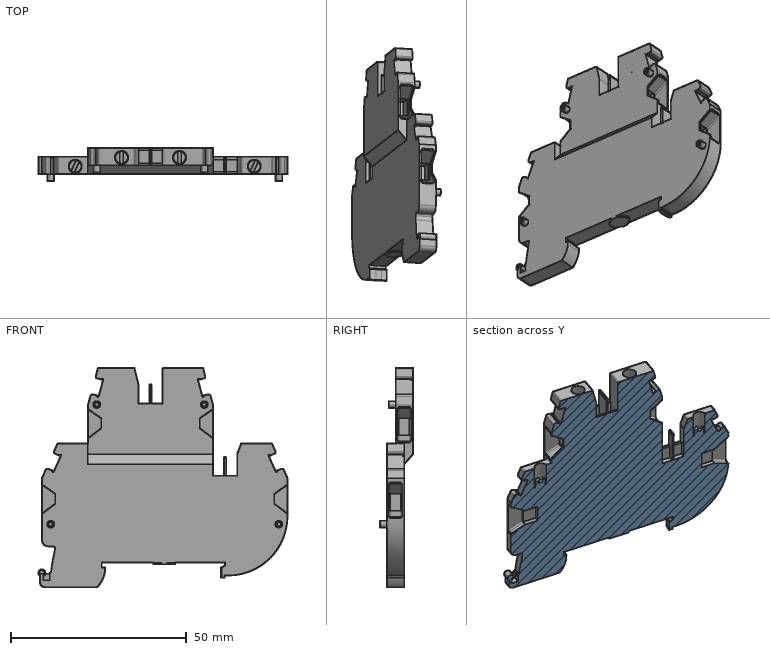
import cadquery as cq
import math

BODY_LENGTH = 69.99
BODY_THICKNESS = 5.0
TIER_OFFSET = 2.5
TOTAL_HEIGHT = 62.5
TIER_PITCH = 21.5
LOWER_TOP = TOTAL_HEIGHT - TIER_PITCH
CENTRE_X = BODY_LENGTH / 2

UPPER_LEFT = 13.12
UPPER_LENGTH = 35.64
UPPER_RIGHT = UPPER_LEFT + UPPER_LENGTH
UPPER_CENTRE_X = UPPER_LEFT + UPPER_LENGTH / 2
STEP_BOTTOM = 35.1
STEP_TOP = 37.9

LOWER_SHOULDER_Z = 31.1
LOWER_SHOULDER_RUN = 4.45
UPPER_SHOULDER_Z = 52.05
UPPER_SHOULDER_RUN = 2.84
LOWER_SHOULDER = ((0, LOWER_SHOULDER_Z), LOWER_SHOULDER_RUN, LOWER_TOP - LOWER_SHOULDER_Z)
UPPER_SHOULDER = ((UPPER_LEFT, UPPER_SHOULDER_Z), UPPER_SHOULDER_RUN, TOTAL_HEIGHT - UPPER_SHOULDER_Z)
JAW_START = 3.2
JAW_END = 7.85
JAW_DEPTH = 2.3
JAW_LIP_ROUND = 0.7
JAW_TIP_ROUND = 0.5
JAW_GROOVE_WIDTH = 1.0
JAW_GROOVE_DEPTH = 0.4
REAR_WEB = 0.5

SLOT_WIDTH = 6.82
UPPER_SLOT_LEFT = UPPER_CENTRE_X - SLOT_WIDTH / 2
UPPER_SLOT_RIGHT = UPPER_CENTRE_X + SLOT_WIDTH / 2
UPPER_SLOT_FLOOR = 52.4
UPPER_FLARE_RUN = 1.15
UPPER_FLARE_BOTTOM = 57.75
LOWER_SLOT_RIGHT = UPPER_RIGHT + SLOT_WIDTH
LOWER_SLOT_FLOOR = 31.8
LOWER_FLARE_RUN = 1.2
LOWER_FLARE_BOTTOM = 37.9
SLOT_PIT_DEPTH = 4.0
SLOT_RIM = 0.65
LOWER_REAR_RIM = 0.9
BLADE_THICKNESS = 0.7
BLADE_HEIGHT = 5.4
BLADE_TIP = 0.4
BLADE_INSET = 0.2
TOP_ROUND = 0.3

WELL_DIAMETER = 3.8
WELL_DEPTH = 7.0
SCREW_DIAMETER = 3.5
SCREW_HEIGHT = 2.0
DRIVE_WIDTH = 1.0
DRIVE_DEPTH = 0.8
WELL_Y = 2.25
LOWER_WELL_INSET = 9.5
UPPER_WELL_SPACING = 16.5
LOWER_DRIVE_ANGLE = -25.0

FUNNEL_DEPTH = 4.6
FUNNEL_MOUTH_TOP = 11.4
FUNNEL_MOUTH_BOTTOM = 21.0
FUNNEL_MOUTH_CHAMFER = 0.3
FUNNEL_END_TOP = 14.35
FUNNEL_END_BOTTOM = 19.25
FUNNEL_FRONT_SKIN = 0.5
FUNNEL_REAR = 4.4
FUNNEL_EDGE_ROUND = 0.4
WIRE_HOLE_DEPTH = 4.0
WIRE_HOLE_INSET = 0.45
WINDOW_DEPTH = 3.8
WINDOW_TOP = 11.75
WINDOW_BOTTOM = 20.1
WINDOW_END_TOP = 14.4
WINDOW_END_BOTTOM = 17.2

PIN_DIAMETER = 2.0
PIN_LENGTH = 2.0
PIN_ROUND = 0.25
PIN_DIMPLE_DIAMETER = 1.2
PIN_DIMPLE_DEPTH = 0.3
PIN_INSET = 2.5
LOWER_PIN_Z = 17.95
UPPER_PIN_Z = 52.05

RAIL_TOP = 7.0
FOOT_LEFT = -0.6
FOOT_RIGHT = 18.0
FOOT_CURVE_END = 15.75
FOOT_CURVE_MID = (17.2, 2.0)
FOOT_CURVE_TOP = 4.5
FOOT_ROUND = 1.45
HEEL_NOTCH_X = 17.1
HEEL_NOTCH_Z = 5.65
HOOK_X = 0.0
HOOK_Z = 4.1
HOOK_DIAMETER = 2.0
HOOK_END_DIAMETER = 1.5
HOOK_END_DEPTH = 0.2
HOOK_WEB_Z = 3.9
HOOK_WEB_CHAMFER = 0.5
HOOK_WELL_LEFT = 0.45
HOOK_WELL_RIGHT = 2.3
HOOK_WELL_BOTTOM = 1.95
BACK_BOTTOM = 11.6
BACK_ROUND = 1.85
NECK_TOP_X = 3.8
NECK_TOP_ROUND = 0.5
NECK_CURVE_TOP = (3.5, 9.75)
NECK_MID = (2.97, 7.2)
NECK_BOTTOM = (2.6, 4.5)
TAIL_RADIUS = 17.0
TAIL_BOTTOM = 3.3
TAIL_LEFT = 51.2
TAIL_NOTCH_X = 52.1
TAIL_NOTCH_Z = 6.2
TAIL_LEDGE_Z = 5.7
TOE_REACH = 0.28
TOE_DROP = 0.65
TOE_WIDTH = 1.1
TOE_CHAMFER_Y = 1.7
BUMP_CENTRE_X = 34.85
BUMP_HEIGHT = 0.5
BUMP_LENGTH = 6.3
BUMP_EDGE_LENGTH = 1.8
BUMP_CHAMFER_Y = 1.7


def prism(points, y_front, y_rear):
    """Closed XZ polygon extruded along +Y."""
    return outline_prism(cq.Workplane("XZ").polyline(points).close(), y_front, y_rear)


def outline_prism(outline, y_front, y_rear):
    return outline.extrude(-(y_rear - y_front)).translate((0, y_front, 0))


def box(x_range, y_range, z_range):
    sizes = [high - low for low, high in (x_range, y_range, z_range)]
    corner = (x_range[0], y_range[0], z_range[0])
    return cq.Workplane("XY").box(*sizes, centered=False).translate(corner)


def mirrored_x(points, centre):
    return [(2 * centre - x, z) for x, z in points]


def shoulder_point(origin, run, rise, along, inward):
    """Point in the frame of a left shoulder leaning to the right."""
    length = math.hypot(run, rise)
    ux, uz = run / length, rise / length
    return (origin[0] + along * ux + inward * uz, origin[1] + along * uz - inward * ux)


def shoulder(origin, run, rise):
    """Left shoulder from its foot to the tier top, with the marker jaw cut in."""
    stations = [(JAW_START, 0), (JAW_START, JAW_DEPTH), (JAW_END, JAW_DEPTH), (JAW_END, 0)]
    jaw = [shoulder_point(origin, run, rise, along, inward) for along, inward in stations]
    return [origin, *jaw, (origin[0] + run, origin[1] + rise)]


def jaw_grooves(origin, run, rise):
    """Two small undercuts in the inner corners of a jaw."""
    inner = JAW_DEPTH - JAW_GROOVE_WIDTH
    grooves = []
    for along, step in ((JAW_START, -JAW_GROOVE_DEPTH), (JAW_END, JAW_GROOVE_DEPTH)):
        corners = [(along, inner), (along, JAW_DEPTH), (along + step, JAW_DEPTH)]
        grooves.append([shoulder_point(origin, run, rise, a, i) for a, i in corners])
    return grooves


def round_corners(body, points, radius):
    """Round the edges along Y that pass through the given XZ points."""
    y_mid = body.val().BoundingBox().center.y
    for x, z in points:
        edge = body.edges("|Y").edges(cq.NearestToPointSelector((x, y_mid, z)))
        body = edge.fillet(radius)
    return body


def round_jaws(body, left, right):
    """Round the lower lip and the upper tip of the jaws on both shoulders."""
    body = round_corners(body, [left[1], right[1]], JAW_LIP_ROUND)
    return round_corners(body, [left[4], right[4]], JAW_TIP_ROUND)


def lower_tier():
    left = shoulder(*LOWER_SHOULDER)
    right = mirrored_x(left, CENTRE_X)
    flare_top = (LOWER_SLOT_RIGHT + LOWER_FLARE_RUN, LOWER_TOP)
    tail_turn = TAIL_RADIUS * math.sqrt(0.5)
    tail_centre = (BODY_LENGTH - TAIL_RADIUS, TAIL_BOTTOM + TAIL_RADIUS)
    crown = [
        *left,
        (UPPER_LEFT, LOWER_TOP),
        (UPPER_LEFT, STEP_BOTTOM),
        (UPPER_RIGHT, STEP_BOTTOM),
        (UPPER_RIGHT, LOWER_SLOT_FLOOR),
        (LOWER_SLOT_RIGHT, LOWER_SLOT_FLOOR),
        (LOWER_SLOT_RIGHT, LOWER_FLARE_BOTTOM),
        flare_top,
        *reversed(right),
        (BODY_LENGTH, tail_centre[1]),
    ]
    outline = (
        cq.Workplane("XZ")
        .polyline(crown)
        .threePointArc(
            (tail_centre[0] + tail_turn, tail_centre[1] - tail_turn),
            (tail_centre[0], TAIL_BOTTOM),
        )
        .lineTo(TAIL_LEFT, TAIL_BOTTOM)
        .lineTo(TAIL_LEFT, TAIL_LEDGE_Z)
        .lineTo(TAIL_NOTCH_X, TAIL_NOTCH_Z)
        .lineTo(TAIL_NOTCH_X, RAIL_TOP)
        .lineTo(HEEL_NOTCH_X, RAIL_TOP)
        .lineTo(HEEL_NOTCH_X, HEEL_NOTCH_Z)
        .lineTo(FOOT_RIGHT, HEEL_NOTCH_Z)
        .lineTo(FOOT_RIGHT, FOOT_CURVE_TOP)
        .threePointArc(FOOT_CURVE_MID, (FOOT_CURVE_END, 0))
        .lineTo(FOOT_LEFT, 0)
        .lineTo(FOOT_LEFT, HOOK_WEB_Z)
        .lineTo(NECK_BOTTOM[0] - HOOK_WEB_CHAMFER, HOOK_WEB_Z)
        .lineTo(*NECK_BOTTOM)
        .threePointArc(NECK_MID, NECK_CURVE_TOP)
        .lineTo(NECK_TOP_X, BACK_BOTTOM)
        .lineTo(0, BACK_BOTTOM)
        .close()
    )
    body = outline_prism(outline, 0, BODY_THICKNESS)
    body = round_jaws(body, left, right)
    body = round_corners(body, [left[-1], right[-1], flare_top], TOP_ROUND)
    body = round_corners(body, [(FOOT_LEFT, 0)], FOOT_ROUND)
    body = round_corners(body, [(NECK_TOP_X, BACK_BOTTOM)], NECK_TOP_ROUND)
    return round_corners(body, [(0, BACK_BOTTOM)], BACK_ROUND)


def upper_tier():
    left = shoulder(*UPPER_SHOULDER)
    right = mirrored_x(left, UPPER_CENTRE_X)
    slot_top_left = (UPPER_SLOT_LEFT - UPPER_FLARE_RUN, TOTAL_HEIGHT)
    slot_top_right = (UPPER_SLOT_RIGHT, TOTAL_HEIGHT)
    points = [
        (UPPER_LEFT, STEP_TOP),
        *left,
        slot_top_left,
        (UPPER_SLOT_LEFT, UPPER_FLARE_BOTTOM),
        (UPPER_SLOT_LEFT, UPPER_SLOT_FLOOR),
        (UPPER_SLOT_RIGHT, UPPER_SLOT_FLOOR),
        slot_top_right,
        *reversed(right),
        (UPPER_RIGHT, STEP_TOP),
    ]
    body = prism(points, TIER_OFFSET, TIER_OFFSET + BODY_THICKNESS)
    body = round_jaws(body, left, right)
    tops = [left[-1], right[-1], slot_top_left, slot_top_right]
    return round_corners(body, tops, TOP_ROUND)


def sloped_step():
    """Slanted slab that joins the offset tiers."""
    points = [
        (0, STEP_BOTTOM),
        (BODY_THICKNESS, STEP_BOTTOM),
        (BODY_THICKNESS + TIER_OFFSET, STEP_TOP),
        (TIER_OFFSET, STEP_TOP),
    ]
    slab = cq.Workplane("YZ").polyline(points).close().extrude(UPPER_LENGTH)
    return slab.translate((UPPER_LEFT, 0, 0))


def cut_jaw_grooves(body):
    tiers = ((LOWER_SHOULDER, CENTRE_X, 0), (UPPER_SHOULDER, UPPER_CENTRE_X, TIER_OFFSET))
    for shoulder_data, centre, y_front in tiers:
        y_rear = y_front + BODY_THICKNESS - REAR_WEB
        for groove in jaw_grooves(*shoulder_data):
            body = body.cut(prism(groove, y_front, y_rear))
            body = body.cut(prism(mirrored_x(groove, centre), y_front, y_rear))
    return body


def fit_jumper_slot(body, x_left, floor, y_front, rear_rim):
    """Sink a pit between two rims of the slot floor and stand a blade in it."""
    y_rear = y_front + BODY_THICKNESS
    pit_floor = floor - SLOT_PIT_DEPTH
    pit = box(
        (x_left, x_left + SLOT_WIDTH),
        (y_front + SLOT_RIM, y_rear - rear_rim),
        (pit_floor, floor),
    )
    x_mid = x_left + SLOT_WIDTH / 2
    half = BLADE_THICKNESS / 2
    tip = floor + BLADE_HEIGHT
    blade = prism(
        [
            (x_mid - half, pit_floor),
            (x_mid - half, tip - BLADE_TIP),
            (x_mid - half / 2, tip),
            (x_mid + half / 2, tip),
            (x_mid + half, tip - BLADE_TIP),
            (x_mid + half, pit_floor),
        ],
        y_front + BLADE_INSET,
        y_rear - BLADE_INSET,
    )
    return body.cut(pit).union(blade)


def cut_screw_well(body, x, y, top, drive_angle):
    """Round well with a slotted screw head at its bottom."""
    bottom = top - WELL_DEPTH
    well = cq.Workplane("XY").circle(WELL_DIAMETER / 2).extrude(WELL_DEPTH)
    screw = cq.Workplane("XY").circle(SCREW_DIAMETER / 2).extrude(SCREW_HEIGHT)
    drive = (
        cq.Workplane("XY", origin=(0, 0, SCREW_HEIGHT - DRIVE_DEPTH))
        .rect(DRIVE_WIDTH, WELL_DIAMETER)
        .extrude(DRIVE_DEPTH)
        .rotate((0, 0, 0), (0, 0, 1), drive_angle)
    )
    return body.cut(well.cut(screw.cut(drive)).translate((x, y, bottom)))


def wire_funnel(top, y_front):
    """Cutter entering a left side at X = 0: funnel, wire hole and front window."""
    y_low = y_front + FUNNEL_FRONT_SKIN
    y_high = y_front + FUNNEL_REAR
    funnel = prism(
        [
            (0, top - FUNNEL_MOUTH_TOP),
            (FUNNEL_DEPTH, top - FUNNEL_END_TOP),
            (FUNNEL_DEPTH, top - FUNNEL_END_BOTTOM),
            (0, top - FUNNEL_MOUTH_BOTTOM),
        ],
        y_low,
        y_high,
    )
    funnel = funnel.edges("not(|Y or |Z)").fillet(FUNNEL_EDGE_ROUND)
    flare = prism(
        [
            (0, top - FUNNEL_MOUTH_TOP + FUNNEL_MOUTH_CHAMFER),
            (FUNNEL_MOUTH_CHAMFER, top - FUNNEL_MOUTH_TOP - FUNNEL_MOUTH_CHAMFER),
            (FUNNEL_MOUTH_CHAMFER, top - FUNNEL_MOUTH_BOTTOM + FUNNEL_MOUTH_CHAMFER),
            (0, top - FUNNEL_MOUTH_BOTTOM - FUNNEL_MOUTH_CHAMFER),
        ],
        y_low + FUNNEL_EDGE_ROUND,
        y_high - FUNNEL_EDGE_ROUND,
    )
    wire_hole = box(
        (FUNNEL_DEPTH, FUNNEL_DEPTH + WIRE_HOLE_DEPTH),
        (y_low + WIRE_HOLE_INSET, y_high - WIRE_HOLE_INSET),
        (top - FUNNEL_END_BOTTOM, top - FUNNEL_END_TOP),
    )
    window = prism(
        [
            (0, top - WINDOW_TOP),
            (WINDOW_DEPTH, top - WINDOW_END_TOP),
            (WINDOW_DEPTH, top - WINDOW_END_BOTTOM),
            (0, top - WINDOW_BOTTOM),
        ],
        y_front,
        y_front + BODY_THICKNESS / 2,
    )
    return funnel.union(flare).union(wire_hole).union(window)


def cut_wire_funnels(body):
    tiers = ((0, BODY_LENGTH, LOWER_TOP, 0), (UPPER_LEFT, UPPER_RIGHT, TOTAL_HEIGHT, TIER_OFFSET))
    for x_left, x_right, top, y_front in tiers:
        funnel = wire_funnel(top, y_front)
        body = body.cut(funnel.translate((x_left, 0, 0)))
        body = body.cut(funnel.mirror("YZ").translate((x_right, 0, 0)))
    return body


def locating_pin(x, z, y_front):
    pin = cq.Workplane("XZ").circle(PIN_DIAMETER / 2).extrude(PIN_LENGTH)
    pin = pin.faces("<Y").edges().fillet(PIN_ROUND)
    pin = pin.faces("<Y").workplane().hole(PIN_DIMPLE_DIAMETER, PIN_DIMPLE_DEPTH)
    return pin.translate((x, y_front, z))


def add_locating_pins(body):
    tiers = ((0, BODY_LENGTH, LOWER_PIN_Z, 0), (UPPER_LEFT, UPPER_RIGHT, UPPER_PIN_Z, TIER_OFFSET))
    for x_left, x_right, z, y_front in tiers:
        for x in (x_left + PIN_INSET, x_right - PIN_INSET):
            body = body.union(locating_pin(x, z, y_front))
    return body


def add_rail_hook(body):
    """Round hook bar, with an open well between it and the neck."""
    well = box(
        (HOOK_WELL_LEFT, HOOK_WELL_RIGHT),
        (0, BODY_THICKNESS - REAR_WEB),
        (HOOK_WELL_BOTTOM, HOOK_WEB_Z),
    )
    bar = cq.Workplane("XZ").circle(HOOK_DIAMETER / 2).extrude(-BODY_THICKNESS)
    bar = bar.faces("<Y").workplane().hole(HOOK_END_DIAMETER, HOOK_END_DEPTH)
    return body.cut(well).union(bar.translate((HOOK_X, 0, HOOK_Z)))


def add_rail_toe(body):
    """Toe of the tail, standing proud and bevelled towards both faces."""
    plan = [
        (TAIL_LEFT + TOE_WIDTH - TOE_REACH, 0),
        (TAIL_LEFT, 0),
        (TAIL_LEFT - TOE_REACH, TOE_CHAMFER_Y),
        (TAIL_LEFT - TOE_REACH, BODY_THICKNESS - TOE_CHAMFER_Y),
        (TAIL_LEFT, BODY_THICKNESS),
        (TAIL_LEFT + TOE_WIDTH - TOE_REACH, BODY_THICKNESS),
    ]
    bottom = TAIL_BOTTOM - TOE_DROP
    toe = cq.Workplane("XY", origin=(0, 0, bottom)).polyline(plan).close()
    return body.union(toe.extrude(TAIL_LEDGE_Z - bottom))


def add_rail_bump(body):
    """Shallow pad under the body, narrowing towards both faces."""
    half_edge = BUMP_EDGE_LENGTH / 2
    half = BUMP_LENGTH / 2
    rear_chamfer_y = BODY_THICKNESS - BUMP_CHAMFER_Y
    plan = [
        (-half_edge, 0),
        (half_edge, 0),
        (half, BUMP_CHAMFER_Y),
        (half, rear_chamfer_y),
        (half_edge, BODY_THICKNESS),
        (-half_edge, BODY_THICKNESS),
        (-half, rear_chamfer_y),
        (-half, BUMP_CHAMFER_Y),
    ]
    pad = cq.Workplane("XY").polyline(plan).close().extrude(BUMP_HEIGHT)
    return body.union(pad.translate((BUMP_CENTRE_X, 0, RAIL_TOP - BUMP_HEIGHT)))


housing = lower_tier().union(sloped_step()).union(upper_tier())
housing = cut_jaw_grooves(housing)
housing = cut_wire_funnels(housing)
for well_x in (LOWER_WELL_INSET, BODY_LENGTH - LOWER_WELL_INSET):
    housing = cut_screw_well(housing, well_x, WELL_Y, LOWER_TOP, LOWER_DRIVE_ANGLE)
for side in (-1, 1):
    well_x = UPPER_CENTRE_X + side * UPPER_WELL_SPACING / 2
    housing = cut_screw_well(housing, well_x, TIER_OFFSET + WELL_Y, TOTAL_HEIGHT, 0)
housing = fit_jumper_slot(housing, UPPER_RIGHT, LOWER_SLOT_FLOOR, 0, LOWER_REAR_RIM)
housing = fit_jumper_slot(housing, UPPER_SLOT_LEFT, UPPER_SLOT_FLOOR, TIER_OFFSET, SLOT_RIM)
housing = add_rail_hook(housing)
housing = add_rail_toe(housing)
housing = add_rail_bump(housing)
result = add_locating_pins(housing)